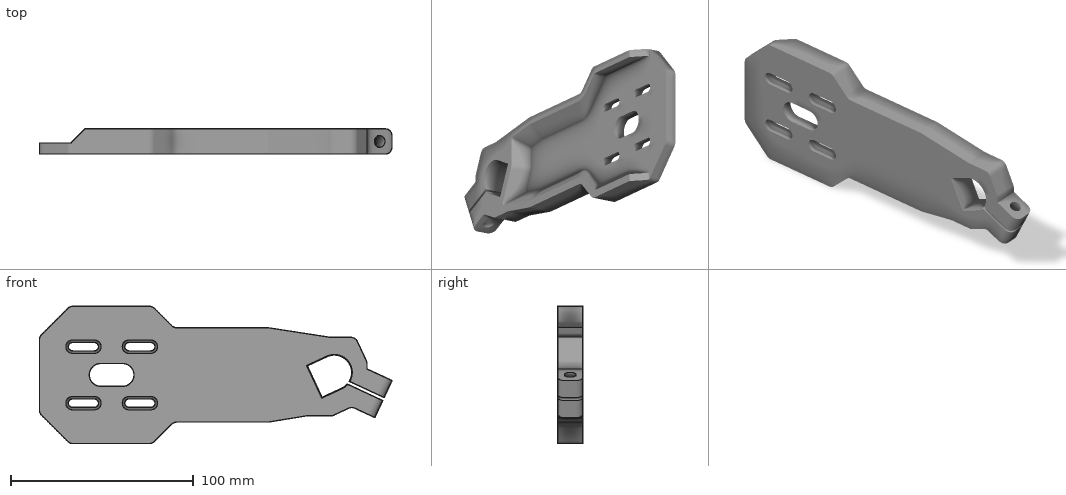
import cadquery as cq
import math

LENGTH = 193.2
THICKNESS = 14.0
HEAD_HALF = 37.7
FLOOR = 6.2
DEPTH = THICKNESS - FLOOR
RIB = 4.0
CORNER_R = 4.0
TILT = math.radians(25)

HEAD_LEFT_CUT = 16.8
HEAD_RIGHT = 61.8
RIM_START = 17.2
POCKET_R = 2.0
MOUTH_HALF = 11.5

ARM_HALF = 25.9
TAPER_START = 125.4
TOP_TAPER_END = 159.2
TOP_LEVEL = 20.7
BOTTOM_TAPER_END = 146.6
BOTTOM_LEVEL = -22.5
JUNCTION_R = 6.0
CHANNEL_START = 46.4
CHANNEL_R = 2.0
NOSE_SETBACK = 0.8
CHANNEL_NOSE_R = 8.0

TOP_END = 173.0
CLAMP_FACE = 179.5
JAW_TIP = (LENGTH, -3.0)
JAW_WIDTH = 22.5
JAW_ROUND = 4.0
BOTTOM_END = 160.5
SPLIT = 1.7
BORE_CENTER = (161.5, 1.4)
BORE_R = 9.5
BORE_BACK = 11.8
BORE_CHAMFER = 0.4
SCREW_D = 6.4
SCREW_SETBACK = 7.5

MOTOR_X = 39.5
SLOT_PITCH = 31.0
SLOT_LENGTH = 16.5
SLOT_WIDTH = 4.5
SLOT_STEP = 1.45
MOUTH_DEPTH = 2.3
STEP_ANGLE = 65.0
CENTER_LENGTH = 24.3
CENTER_WIDTH = 12.4

HEAD_END = HEAD_RIGHT + HEAD_HALF - ARM_HALF
JAW_DIR = (math.cos(TILT), -math.sin(TILT))
JAW_DOWN = (-math.sin(TILT), -math.cos(TILT))
BORE_DIR = (math.cos(TILT), math.sin(TILT))
FLAT_DOWN = (math.sin(TILT), -math.cos(TILT))


def moved(point, direction, distance):
    return (point[0] + direction[0] * distance, point[1] + direction[1] * distance)


def toward(start, end):
    """Unit direction from one point to another."""
    reach = math.dist(start, end)
    return ((end[0] - start[0]) / reach, (end[1] - start[1]) / reach)


def crossing(first, second):
    """Point where two lines, each given as (point, direction), cross."""
    (px, pz), (dx, dz) = first
    (qx, qz), (ex, ez) = second
    reach = ((qx - px) * ez - (qz - pz) * ex) / (dx * ez - dz * ex)
    return moved(first[0], first[1], reach)


def at_x(start, direction, x):
    """Point where a line reaches the given X."""
    return moved(start, direction, (x - start[0]) / direction[0])


def layer(y):
    """Sketch plane at the given Y with local axes X and Z; it extrudes toward -Y."""
    return cq.Workplane("XZ", origin=(0, y, 0))


JAW_LOW = moved(JAW_TIP, JAW_DOWN, JAW_WIDTH)
JAW_ROOT = crossing((JAW_LOW, JAW_DIR), ((BOTTOM_END, BOTTOM_LEVEL), BORE_DIR))
TOP_CORNER = (TOP_END, TOP_LEVEL)
FACE_TOP = at_x(TOP_CORNER, FLAT_DOWN, CLAMP_FACE)


def make_body():
    left = HEAD_HALF - HEAD_LEFT_CUT
    rounded = [
        (0, -left), (0, left),
        (HEAD_LEFT_CUT, HEAD_HALF), (HEAD_LEFT_CUT, -HEAD_HALF),
        (HEAD_RIGHT, HEAD_HALF), (HEAD_RIGHT, -HEAD_HALF),
        (HEAD_END, ARM_HALF), (HEAD_END, -ARM_HALF),
        TOP_CORNER, FACE_TOP, JAW_ROOT,
    ]
    outline = [
        (0, -left), (0, left), (HEAD_LEFT_CUT, HEAD_HALF), (HEAD_RIGHT, HEAD_HALF),
        (HEAD_END, ARM_HALF), (TAPER_START, ARM_HALF), (TOP_TAPER_END, TOP_LEVEL),
        TOP_CORNER, FACE_TOP, at_x(JAW_TIP, JAW_DIR, CLAMP_FACE), JAW_TIP, JAW_LOW,
        JAW_ROOT, (BOTTOM_END, BOTTOM_LEVEL), (BOTTOM_TAPER_END, BOTTOM_LEVEL),
        (TAPER_START, -ARM_HALF), (HEAD_END, -ARM_HALF), (HEAD_RIGHT, -HEAD_HALF),
        (HEAD_LEFT_CUT, -HEAD_HALF),
    ]
    body = layer(THICKNESS).polyline(outline).close().extrude(THICKNESS)
    for x, z in rounded:
        corner = cq.selectors.NearestToPointSelector((x, THICKNESS / 2, z))
        body = body.edges(corner).fillet(CORNER_R)
    tip_middle = moved(JAW_TIP, JAW_DOWN, JAW_WIDTH / 2)
    for y in (0, THICKNESS):
        edge = cq.selectors.NearestToPointSelector((tip_middle[0], y, tip_middle[1]))
        body = body.edges(edge).fillet(JAW_ROUND)
    return body


def head_pocket():
    """Straight-walled pocket behind the head, open at the free end."""
    half = HEAD_HALF - RIB
    corner = HEAD_RIGHT - RIB * math.tan(math.radians(22.5))
    end = corner + half - MOUTH_HALF
    points = [
        (0, -half), (corner, -half), (end, -MOUTH_HALF),
        (end, MOUTH_HALF), (corner, half), (0, half),
    ]
    pocket = layer(THICKNESS).polyline(points).close().extrude(DEPTH)
    for z in (-half, half):
        edge = cq.selectors.NearestToPointSelector((corner, THICKNESS - DEPTH / 2, z))
        pocket = pocket.edges(edge).fillet(POCKET_R)
    return pocket


def rim_end_cut():
    """Clears the rim from the free end, leaving 45 degree sloped rim ends."""
    profile = [(0, FLOOR), (RIM_START, FLOOR), (RIM_START + DEPTH, THICKNESS), (0, THICKNESS)]
    return cq.Workplane("XY").polyline(profile).close().extrude(HEAD_HALF, both=True)


def channel_outline(inset):
    """Channel corners, clockwise, with every wall the inset away from the edge it follows."""
    bore_corner = moved(moved(BORE_CENTER, BORE_DIR, -BORE_BACK), FLAT_DOWN, -BORE_R)
    edges = [
        ((CHANNEL_START, ARM_HALF), (1, 0)),
        ((TAPER_START, ARM_HALF), toward((TAPER_START, ARM_HALF), (TOP_TAPER_END, TOP_LEVEL))),
        (moved(bore_corner, (1, 0), NOSE_SETBACK), (0, -1)),
        (bore_corner, FLAT_DOWN),
        ((TAPER_START, -ARM_HALF), toward((BOTTOM_TAPER_END, BOTTOM_LEVEL), (TAPER_START, -ARM_HALF))),
        ((CHANNEL_START, -ARM_HALF), (-1, 0)),
    ]
    walls = [(moved(point, (d[1], -d[0]), inset), d) for point, d in edges]
    start = (CHANNEL_START, ARM_HALF - inset)
    end = (CHANNEL_START, inset - ARM_HALF)
    return [start] + [crossing(*pair) for pair in zip(walls, walls[1:])] + [end]


def arm_channel():
    """Channel behind the arm with 45 degree walls, ending at the bore wall."""
    land = channel_outline(RIB)
    foot = channel_outline(RIB + DEPTH)
    top = [cq.Vector(x, THICKNESS, z) for x, z in land]
    floor = [cq.Vector(x, FLOOR, z) for x, z in foot]
    loops = [top, floor]
    for i in range(len(top)):
        loops.append([top[i - 1], top[i], floor[i], floor[i - 1]])
    faces = [cq.Face.makeFromWires(cq.Wire.makePolygon(loop, close=True)) for loop in loops]
    channel = cq.Workplane(cq.Solid.makeSolid(cq.Shell.makeShell(faces)))
    for index, radius in ((2, CHANNEL_R), (3, CHANNEL_NOSE_R), (4, CHANNEL_R)):
        middle = [(a + b) / 2 for a, b in zip(land[index], foot[index])]
        edge = cq.selectors.NearestToPointSelector((middle[0], FLOOR + DEPTH / 2, middle[1]))
        channel = channel.edges(edge).fillet(radius)
    return channel


def bore():
    """Bore with a flat wall, straight sides and a round end."""
    def section(y, grow):
        radius = BORE_R + grow
        back = BORE_BACK + grow
        return (
            layer(y).center(*BORE_CENTER).transformed(rotate=(0, 0, math.degrees(TILT)))
            .moveTo(0, radius).lineTo(-back, radius).lineTo(-back, -radius).lineTo(0, -radius)
            .threePointArc((radius, 0), (0, radius)).close()
        )
    hole = section(THICKNESS, 0).extrude(THICKNESS)
    return hole.union(section(0, BORE_CHAMFER).extrude(-BORE_CHAMFER, taper=45))


def jaw_split():
    middle = moved(JAW_TIP, JAW_DOWN, JAW_WIDTH / 2)
    reach = math.dist(middle, BORE_CENTER) - BORE_R / 2
    x, z = moved(middle, JAW_DIR, -reach / 2)
    return (
        layer(THICKNESS).center(x, z).transformed(rotate=(0, 0, -math.degrees(TILT)))
        .rect(reach, SPLIT).extrude(THICKNESS)
    )


def screw_hole():
    x, z = moved(JAW_TIP, JAW_DIR, -SCREW_SETBACK)
    axis = cq.Vector(JAW_DOWN[0], 0, JAW_DOWN[1])
    return cq.Workplane(
        cq.Solid.makeCylinder(SCREW_D / 2, JAW_WIDTH, cq.Vector(x, THICKNESS / 2, z), axis)
    )


def motor_slots():
    places = [
        (MOTOR_X + sx * SLOT_PITCH / 2, sz * SLOT_PITCH / 2) for sx in (-1, 1) for sz in (-1, 1)
    ]
    slots = layer(FLOOR).pushPoints(places).slot2D(SLOT_LENGTH, SLOT_WIDTH).extrude(FLOOR)
    wide = (SLOT_LENGTH + 2 * SLOT_STEP, SLOT_WIDTH + 2 * SLOT_STEP)
    mouths = layer(0).pushPoints(places).slot2D(*wide).extrude(-MOUTH_DEPTH)
    step_height = SLOT_STEP / math.tan(math.radians(STEP_ANGLE))
    steps = layer(MOUTH_DEPTH).pushPoints(places).slot2D(*wide).extrude(-step_height, taper=STEP_ANGLE)
    center = layer(FLOOR).center(MOTOR_X, 0).slot2D(CENTER_LENGTH, CENTER_WIDTH).extrude(FLOOR)
    return slots.union(mouths).union(steps).union(center)


result = make_body().cut(rim_end_cut()).cut(head_pocket()).cut(arm_channel())
for side in (-1, 1):
    junction = cq.selectors.ParallelDirSelector(cq.Vector(1, -1, side))
    result = result.edges(junction).fillet(JUNCTION_R)
result = result.cut(bore()).cut(jaw_split()).cut(screw_hole()).cut(motor_slots())